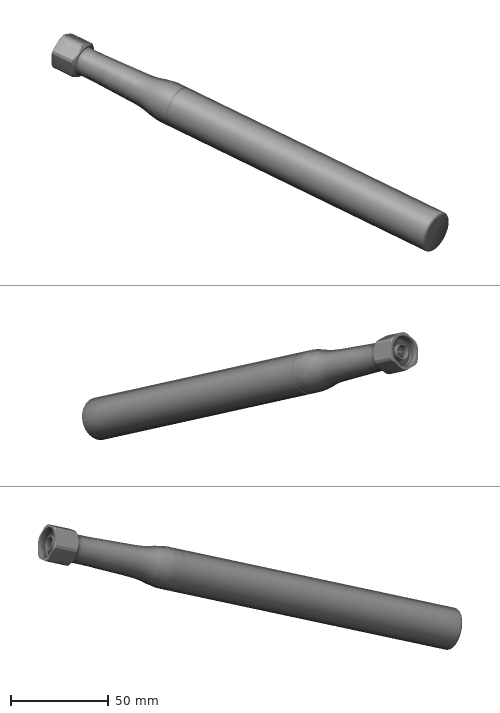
import cadquery as cq
import math

length = 239.5

nut_length = 14.4
nut_across_flats = 18.2
nut_corner_radius = 10.0
nut_front_bevel = 0.5
nut_back_bevel = 1.5

ferrule_radius = 7.7
ferrule_end = 15.5
neck_radius = 7.5
neck_end = 22.8
taper_radius = 8.5
taper_end = 50.8

flare_middle = 61.8
flare_middle_radius = 10.0
flare_end = 69.5
tube_radius = 11.0
tube_end_fillet = 1.5

groove_start = 74.5
groove_width = 1.0
groove_depth = 0.2

socket_radius = 8.1
socket_depth = 4.8
socket_floor_bevel = 0.7
contact_outer_radius = 4.0
contact_inner_radius = 3.5
contact_recess = 1.5
pin_radius = 0.85
pin_recess = 2.9


def cylinder(radius, start, end):
    """Solid round bar along X between two stations."""
    return cq.Workplane("YZ").workplane(offset=start).circle(radius).extrude(end - start)


def ring(outer_radius, inner_radius, start, end):
    """Hollow round bar along X between two stations."""
    return cylinder(outer_radius, start, end).cut(cylinder(inner_radius, start, end))


def make_nut():
    """Hexagon with flats facing +Y and -Y, its corners trimmed by a bevelled round bar."""
    across_corners = nut_across_flats / math.cos(math.pi / 6)
    hexagon = (
        cq.Workplane("YZ")
        .polygon(6, across_corners)
        .extrude(nut_length)
        .rotate((0, 0, 0), (1, 0, 0), 90)
    )
    trimming_bar = (
        cylinder(nut_corner_radius, 0, nut_length)
        .faces("<X")
        .chamfer(nut_front_bevel)
        .faces(">X")
        .chamfer(nut_back_bevel)
    )
    return hexagon.intersect(trimming_bar)


def make_handle():
    """Ferrule, neck, tapered sleeve, flare and main tube as one turned body."""
    handle = (
        cq.Workplane("XY")
        .moveTo(nut_length, 0)
        .lineTo(nut_length, ferrule_radius)
        .lineTo(ferrule_end, neck_radius)
        .lineTo(neck_end, neck_radius)
        .lineTo(taper_end, taper_radius)
        .tangentArcPoint((flare_middle, flare_middle_radius), relative=False)
        .tangentArcPoint((flare_end, tube_radius), relative=False)
        .lineTo(length, tube_radius)
        .lineTo(length, 0)
        .close()
        .revolve(360, (0, 0, 0), (1, 0, 0))
    )
    return handle.faces(">X").edges().fillet(tube_end_fillet)


def make_groove():
    """Ring of material removed for the joint groove."""
    groove_end = groove_start + groove_width
    return ring(tube_radius + groove_depth, tube_radius - groove_depth, groove_start, groove_end)


def make_socket():
    """Round socket with a bevel around its floor."""
    return cylinder(socket_radius, 0, socket_depth).faces(">X").chamfer(socket_floor_bevel)


def make_contact():
    """Contact tube and centre pin standing on the socket floor."""
    contact_tube = ring(contact_outer_radius, contact_inner_radius, contact_recess, socket_depth)
    pin = cylinder(pin_radius, pin_recess, socket_depth)
    return contact_tube.union(pin)


body = make_nut().union(make_handle())
body = body.cut(make_groove()).cut(make_socket())
result = body.union(make_contact())